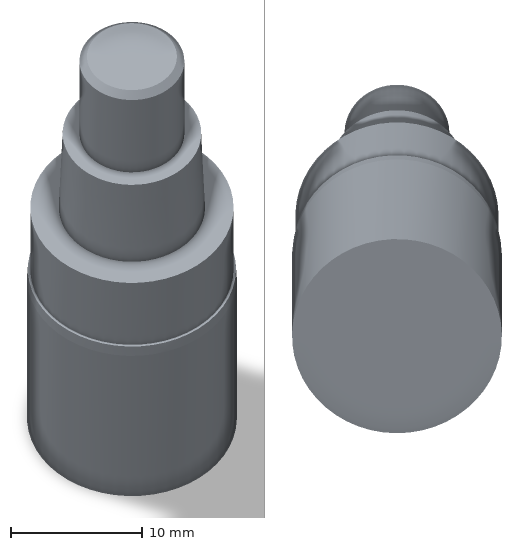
import cadquery as cq
import math

head_radius = 8.0
head_height = 16.0

collar_height = 1.0
collar_crown_radius = head_radius
neck_radius = 7.75
neck_top = 24.05
taper_base_radius = 5.58
taper_top = 32.5
taper_angle = 2.0
shank_radius = 4.0
overall_height = 41.25
tip_chamfer_width = 0.57
tip_chamfer_height = 0.5


def crown_point(height):
    """Point on the collar's rim, at a height above the top of the head."""
    inset = collar_crown_radius - math.sqrt(collar_crown_radius**2 - height**2)
    return (head_radius - inset, head_height + height)


def make_head():
    return cq.Workplane("XY").circle(head_radius).extrude(head_height)


def make_arbor():
    taper_inset = (taper_top - neck_top) * math.tan(math.radians(taper_angle))
    half_section = (
        cq.Workplane("XZ")
        .moveTo(0, head_height)
        .lineTo(head_radius, head_height)
        .threePointArc(crown_point(collar_height / 2), crown_point(collar_height))
        .lineTo(neck_radius, head_height + collar_height)
        .lineTo(neck_radius, neck_top)
        .lineTo(taper_base_radius, neck_top)
        .lineTo(taper_base_radius - taper_inset, taper_top)
        .lineTo(shank_radius, taper_top)
        .lineTo(shank_radius, overall_height - tip_chamfer_height)
        .lineTo(shank_radius - tip_chamfer_width, overall_height)
        .lineTo(0, overall_height)
        .close()
    )
    return half_section.revolve(360, (0, 0), (0, 1))


head = make_head()
arbor = make_arbor()

result = cq.Compound.makeCompound([head.val(), arbor.val()])